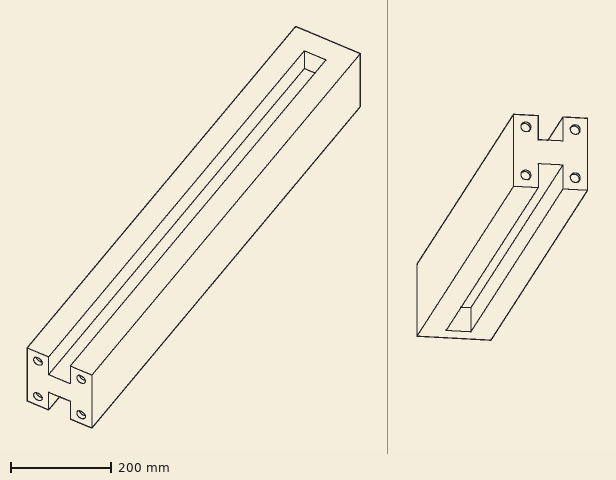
import cadquery as cq

length = 1050.0
side = 150.0

slot_width = side / 3
slot_depth = side / 3
end_wall = 50.0
slot_length = length - end_wall

hole_diameter = 20.0
hole_depth = 10.0
hole_spacing = side - slot_width


def slot(outward):
    """Slot cutter for the top (outward = 1) or bottom (outward = -1) face."""
    center_y = (slot_length - length) / 2
    center_z = outward * (side - slot_depth) / 2
    return cq.Workplane("XY").box(slot_width, slot_length, slot_depth).translate((0, center_y, center_z))


def end_holes():
    """Four hole cutters running from the -Y end face into the block."""
    return (
        cq.Workplane("XZ", origin=(0, -length / 2, 0))
        .rect(hole_spacing, hole_spacing, forConstruction=True)
        .vertices()
        .circle(hole_diameter / 2)
        .extrude(-hole_depth)
    )


result = cq.Workplane("XY").box(side, length, side)
for outward in (1, -1):
    result = result.cut(slot(outward))
result = result.cut(end_holes())